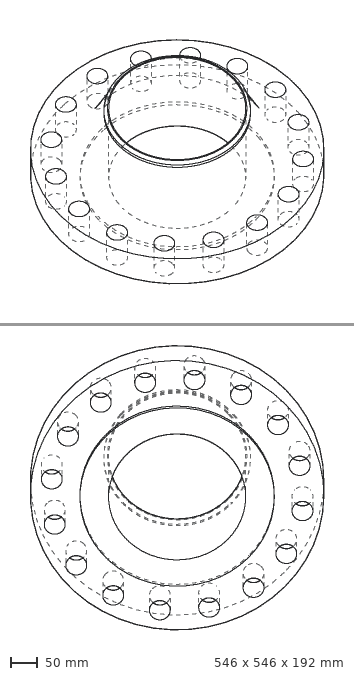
import cadquery as cq

FLANGE_DIAMETER = 546.0
TOTAL_HEIGHT = 192.0
FLANGE_THICKNESS = 70.0

FACE_DIAMETER = 361.5
FACE_HEIGHT = 8.0

HUB_BASE_DIAMETER = 367.5
HUB_BASE_FILLET = 3.0
NECK_DIAMETER = 273.0
NECK_HEIGHT = 11.5
BEVEL_HEIGHT = 5.0
BEVEL_TOP_DIAMETER = 259.5
BORE_DIAMETER = 255.0

BOLT_COUNT = 16
BOLT_CIRCLE_DIAMETER = 470.5
BOLT_HOLE_DIAMETER = 39.0

FLANGE_TOP = FACE_HEIGHT + FLANGE_THICKNESS
NECK_BOTTOM = TOTAL_HEIGHT - NECK_HEIGHT
BEVEL_BOTTOM = TOTAL_HEIGHT - BEVEL_HEIGHT


def make_body():
    """Revolve the half section, with the bore left open, about Z."""
    section = [
        (BORE_DIAMETER / 2, 0),
        (FACE_DIAMETER / 2, 0),
        (FACE_DIAMETER / 2, FACE_HEIGHT),
        (FLANGE_DIAMETER / 2, FACE_HEIGHT),
        (FLANGE_DIAMETER / 2, FLANGE_TOP),
        (HUB_BASE_DIAMETER / 2, FLANGE_TOP),
        (NECK_DIAMETER / 2, NECK_BOTTOM),
        (NECK_DIAMETER / 2, BEVEL_BOTTOM),
        (BEVEL_TOP_DIAMETER / 2, TOTAL_HEIGHT),
        (BORE_DIAMETER / 2, TOTAL_HEIGHT),
    ]
    return cq.Workplane("XZ").polyline(section).close().revolve(360, (0, 0), (0, 1))


def round_hub_foot(body):
    """Fillet the corner where the tapered hub meets the flange."""
    reach = HUB_BASE_DIAMETER / 2 + HUB_BASE_FILLET
    foot = cq.selectors.BoxSelector(
        (-reach, -reach, FLANGE_TOP - HUB_BASE_FILLET),
        (reach, reach, FLANGE_TOP + HUB_BASE_FILLET),
        boundingbox=True,
    )
    return body.edges(foot).fillet(HUB_BASE_FILLET)


def make_bolt_holes():
    """Cylinders for the through holes, evenly spaced with the first one on +X."""
    holes = cq.Workplane("XY").polarArray(BOLT_CIRCLE_DIAMETER / 2, 0, 360, BOLT_COUNT)
    return holes.circle(BOLT_HOLE_DIAMETER / 2).extrude(FLANGE_TOP)


result = round_hub_foot(make_body()).cut(make_bolt_holes())